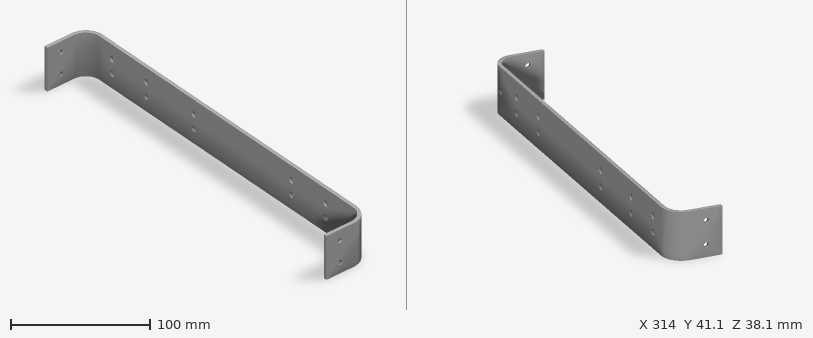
import cadquery as cq

length = 313.98
depth = 41.1
height = 38.1

thickness = 3.0
bend_outer_radius = 15.7
bend_inner_radius = bend_outer_radius - thickness

web_length = length - 2 * bend_outer_radius
leg_length = depth - bend_outer_radius
bend_center_x = web_length / 2
bend_center_y = leg_length

web_hole_diameter = 5.0
web_pair_pitch = 38.1
left_pair_x = -126.95
middle_pair_x = -35.8
right_pair_x = 72.8
web_pair_x = (
    left_pair_x,
    left_pair_x + web_pair_pitch,
    middle_pair_x,
    right_pair_x,
    right_pair_x + web_pair_pitch,
)
web_pair_spacing = height / 3
single_hole_x = 139.35

leg_hole_diameter = 4.0
leg_hole_y = 12.7
leg_hole_spacing = height / 2

mid_height = height / 2


def make_web():
    """Long flat wall along the back."""
    web = cq.Workplane("XY").box(web_length, thickness, height, centered=(True, False, False))
    return web.translate((0, depth - thickness, 0))


def make_leg(side):
    """Short flat wall at one end; side is -1 for left and 1 for right."""
    leg = cq.Workplane("XY").box(thickness, leg_length, height, centered=(True, False, False))
    return leg.translate((side * (length - thickness) / 2, 0, 0))


def make_bend(side):
    """Quarter-round bend that joins the web to one leg."""
    ring = (
        cq.Workplane("XY")
        .center(side * bend_center_x, bend_center_y)
        .circle(bend_outer_radius)
        .circle(bend_inner_radius)
        .extrude(height)
    )
    quadrant = (
        cq.Workplane("XY")
        .box(bend_outer_radius, bend_outer_radius, height, centered=(True, False, False))
        .translate((side * (bend_center_x + bend_outer_radius / 2), bend_center_y, 0))
    )
    return ring.intersect(quadrant)


def make_web_hole_cutters():
    """Round cutters along Y for every hole in the web."""
    points = [(single_hole_x, mid_height)]
    for x in web_pair_x:
        for side in (-1, 1):
            points.append((x, mid_height + side * web_pair_spacing / 2))
    cutters = cq.Workplane("XZ").pushPoints(points).circle(web_hole_diameter / 2)
    return cutters.extrude(-depth)


def make_leg_hole_cutters():
    """Round cutters along X that pass through both legs."""
    points = [(leg_hole_y, mid_height + side * leg_hole_spacing / 2) for side in (-1, 1)]
    cutters = cq.Workplane("YZ").pushPoints(points).circle(leg_hole_diameter / 2)
    return cutters.extrude(length / 2, both=True)


def make_bracket():
    """U-shaped strip as one solid; clean=False keeps the bend lines on its edge faces."""
    bracket = make_web()
    for side in (-1, 1):
        bracket = bracket.union(make_bend(side), clean=False)
        bracket = bracket.union(make_leg(side), clean=False)
    bracket = bracket.cut(make_web_hole_cutters(), clean=False)
    return bracket.cut(make_leg_hole_cutters(), clean=False)


bracket = make_bracket()
result = cq.Compound.makeCompound([bracket.solids().val()])